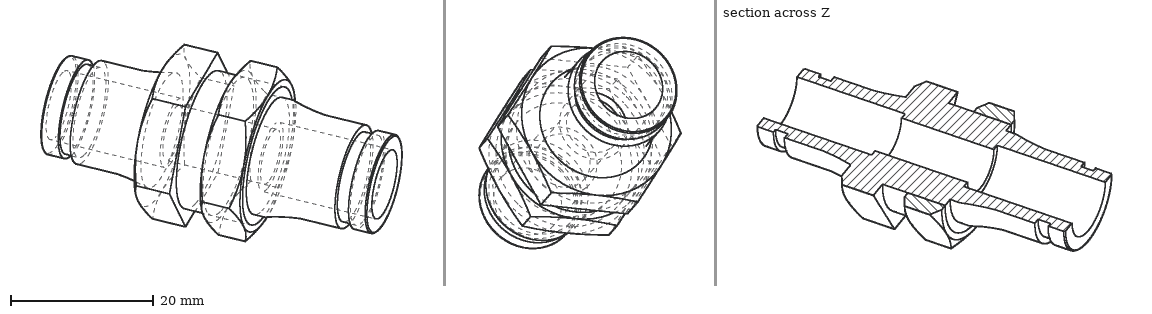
import cadquery as cq
import math

LENGTH = 49.0
ACROSS_FLATS = 22.0
HEX_THICKNESS = 6.0
CORNER_ANGLE = 30.0

FLANGE_START = 15.55
NUT_START = 25.5
NUT_END = NUT_START + HEX_THICKNESS

COLLAR_RADIUS = 7.15
COLLAR_LENGTH = 2.7
COLLAR_CHAMFER = 0.2
GROOVE_RADIUS = 6.5
GROOVE_END = 4.6
SLEEVE_RADIUS = 7.5
SLEEVE_END = 10.85

SHOULDER_RADIUS = 8.5
FLARE_LENGTH = 5.2
FLARE_SAG = 0.122
THREAD_RADIUS = 10.0

BORE_RADIUS = 3.95
SOCKET_RADIUS = 5.0
SOCKET_DEPTH = 17.15


def cylinder(start, end, radius):
    """Solid cylinder along X between two axial positions."""
    return cq.Workplane("YZ", origin=(start, 0, 0)).circle(radius).extrude(end - start)


def corner_cone(face, inward):
    """Cone that trims hexagon corners at a face; inward is +1 or -1 along X."""
    face_radius = ACROSS_FLATS / 2
    wide_radius = face_radius + HEX_THICKNESS / math.tan(math.radians(CORNER_ANGLE))
    opposite_face = face + inward * HEX_THICKNESS
    return (
        cq.Workplane("XY")
        .moveTo(face, 0)
        .lineTo(face, face_radius)
        .lineTo(opposite_face, wide_radius)
        .lineTo(opposite_face, 0)
        .close()
        .revolve(360, (0, 0, 0), (1, 0, 0))
    )


def hexagon(start):
    """Hexagonal block with corners on the Y axis and its left corners trimmed."""
    across_corners = ACROSS_FLATS / math.cos(math.pi / 6)
    block = cq.Workplane("YZ", origin=(start, 0, 0)).polygon(6, across_corners).extrude(HEX_THICKNESS)
    return block.intersect(corner_cone(start, 1))


def stepped_end():
    """Collar, groove, sleeve and concave flared shoulder, running from X = 0 to mid-length."""
    flare_end = SLEEVE_END + FLARE_LENGTH
    flare_middle = (SLEEVE_END + FLARE_LENGTH / 2, (SLEEVE_RADIUS + SHOULDER_RADIUS) / 2 - FLARE_SAG)
    return (
        cq.Workplane("XY")
        .moveTo(0, 0)
        .lineTo(0, COLLAR_RADIUS - COLLAR_CHAMFER)
        .lineTo(COLLAR_CHAMFER, COLLAR_RADIUS)
        .lineTo(COLLAR_LENGTH, COLLAR_RADIUS)
        .lineTo(COLLAR_LENGTH, GROOVE_RADIUS)
        .lineTo(GROOVE_END, GROOVE_RADIUS)
        .lineTo(GROOVE_END, SLEEVE_RADIUS)
        .lineTo(SLEEVE_END, SLEEVE_RADIUS)
        .threePointArc(flare_middle, (flare_end, SHOULDER_RADIUS))
        .lineTo(LENGTH / 2, SHOULDER_RADIUS)
        .lineTo(LENGTH / 2, 0)
        .close()
        .revolve(360, (0, 0, 0), (1, 0, 0))
    )


def make_housing():
    """Fitting body with its fixed hexagon flange, thread and stepped bore."""
    left_end = stepped_end()
    right_end = left_end.mirror("YZ", (LENGTH / 2, 0, 0))
    thread = cylinder(FLANGE_START, NUT_END, THREAD_RADIUS)
    housing = left_end.union(right_end).union(thread).union(hexagon(FLANGE_START))
    return (
        housing.cut(cylinder(0, LENGTH, BORE_RADIUS))
        .cut(cylinder(0, SOCKET_DEPTH, SOCKET_RADIUS))
        .cut(cylinder(LENGTH - SOCKET_DEPTH, LENGTH, SOCKET_RADIUS))
    )


def make_nut():
    """Bulkhead nut on the thread, with the corners trimmed on both faces."""
    blank = hexagon(NUT_START).intersect(corner_cone(NUT_END, -1))
    return blank.cut(cylinder(NUT_START, NUT_END, THREAD_RADIUS))


housing = make_housing()
nut = make_nut()
result = cq.Compound.makeCompound([housing.val(), nut.val()])